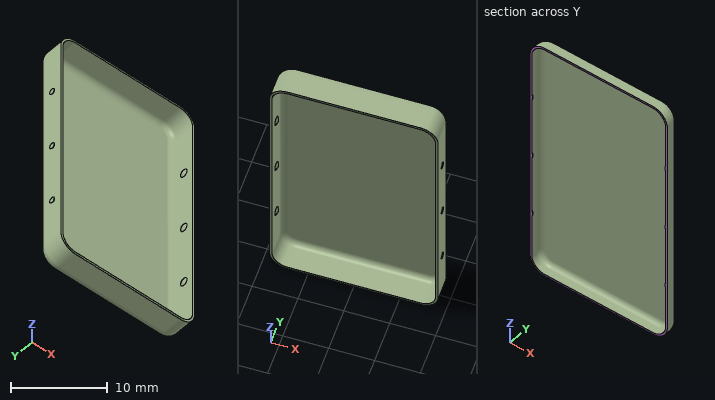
import cadquery as cq

width = 18.4
depth = 3.5
height = 31.4
wall = 0.3
corner_radius = 2.0
floor_edge_radius = 1.0

detent_pitch = 8.0
detent_rows = (-1, 0, 1)
detent_from_rim = 1.4
detent_bulge = 0.2
bump_base_radius = 0.5
bump_radius = (bump_base_radius**2 + detent_bulge**2) / (2 * detent_bulge)
ball_centre_x = width / 2 - wall - detent_bulge + bump_radius
dimple_radius = bump_radius - wall

rim_y = -depth / 2
detent_y = rim_y + detent_from_rim


def rounded_block(inset):
    """Block offset inwards by inset, with its rim left on the open side."""
    block = (
        cq.Workplane("XZ", origin=(0, rim_y, 0))
        .rect(width - 2 * inset, height - 2 * inset)
        .extrude(-(depth - inset))
    )
    block = block.edges("|Y").fillet(corner_radius - inset)
    return block.faces(">Y").edges().fillet(floor_edge_radius - inset)


def detent_ball(side, z, ball_radius):
    """Ball on the detent axis, poles along Y and seam on the outer side."""
    ball = (
        cq.Workplane("XY")
        .moveTo(0, -ball_radius)
        .threePointArc((side * ball_radius, 0), (0, ball_radius))
        .close()
        .revolve(360, (0, 0, 0), (0, 1, 0))
    )
    return ball.translate((side * ball_centre_x, detent_y, z))


result = rounded_block(0).cut(rounded_block(wall))

for side in (-1, 1):
    for row in detent_rows:
        z = row * detent_pitch
        bump = detent_ball(side, z, bump_radius).intersect(rounded_block(wall))
        result = result.union(bump).cut(detent_ball(side, z, dimple_radius))